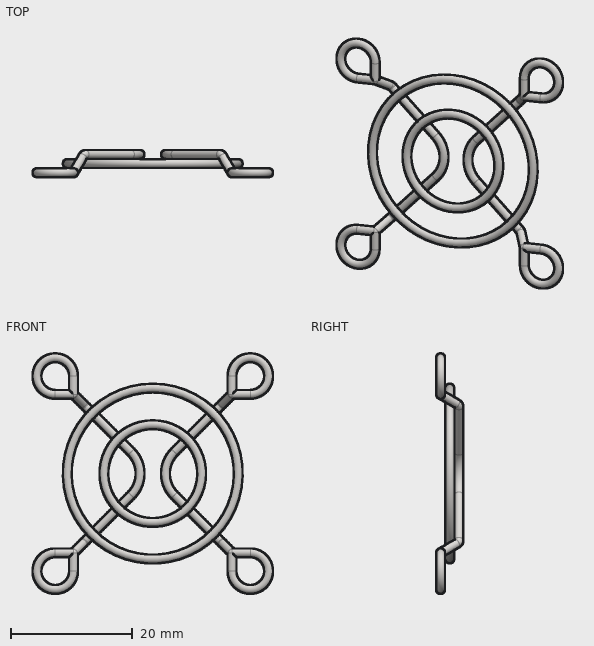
import cadquery as cq
import math

overall = 39.5
wire_diameter = 1.5
loop_radius = 3.0
outer_ring_radius = 14.02
inner_ring_radius = 8.0
middle_bend_radius = 5.0
crank_bend_radius = 0.83
crank_angle = math.radians(51)

wire_radius = wire_diameter / 2
ring_y = 0.0
arm_y = ring_y + wire_diameter
loop_y = ring_y - wire_diameter

loop_center = overall / 2 - wire_radius - loop_radius
loop_corner = loop_center - loop_radius
middle_bend_end = middle_bend_radius * math.sin(math.pi / 4)
middle_bend_tip = middle_bend_radius * (math.sqrt(2) - 1)
crank_run = (arm_y - loop_y) / math.tan(crank_angle)

corner_distance = loop_corner * math.sqrt(2)
crank_bend_start = corner_distance - crank_run - crank_bend_radius * math.tan(crank_angle / 2)


def diagonal_point(distance, y, side=1):
    """Point on the upper (side=1) or lower (side=-1) diagonal of the left half."""
    offset = distance / math.sqrt(2)
    return cq.Vector(-offset, y, side * offset)


def crank_bend_point(angle, side):
    """Point on the crank bend after turning through the given angle."""
    distance = crank_bend_start + crank_bend_radius * math.sin(angle)
    y = arm_y - crank_bend_radius * (1 - math.cos(angle))
    return diagonal_point(distance, y, side)


def sweep_wire(edges):
    """Round wire swept along connected, tangent centreline edges."""
    path = cq.Wire.assembleEdges(edges)
    start = edges[0]
    section = cq.Plane(origin=start.startPoint(), normal=start.tangentAt(0))
    return cq.Workplane(section).circle(wire_radius).sweep(cq.Workplane(obj=path))


def make_ring(radius):
    return cq.Workplane(obj=cq.Solid.makeTorus(
        radius, wire_radius, cq.Vector(0, ring_y, 0), cq.Vector(0, 1, 0)))


def make_arms():
    """Two diagonal arms joined by the middle bend, each ending in a crank."""
    top_corner = diagonal_point(corner_distance, loop_y)
    top_outer = crank_bend_point(crank_angle, 1)
    top_middle = crank_bend_point(crank_angle / 2, 1)
    top_inner = crank_bend_point(0, 1)
    bend_top = cq.Vector(-middle_bend_end, arm_y, middle_bend_end)
    bend_tip = cq.Vector(-middle_bend_tip, arm_y, 0)
    bend_bottom = cq.Vector(-middle_bend_end, arm_y, -middle_bend_end)
    bottom_inner = crank_bend_point(0, -1)
    bottom_middle = crank_bend_point(crank_angle / 2, -1)
    bottom_outer = crank_bend_point(crank_angle, -1)
    bottom_corner = diagonal_point(corner_distance, loop_y, -1)
    return sweep_wire([
        cq.Edge.makeLine(top_corner, top_outer),
        cq.Edge.makeThreePointArc(top_outer, top_middle, top_inner),
        cq.Edge.makeLine(top_inner, bend_top),
        cq.Edge.makeThreePointArc(bend_top, bend_tip, bend_bottom),
        cq.Edge.makeLine(bend_bottom, bottom_inner),
        cq.Edge.makeThreePointArc(bottom_inner, bottom_middle, bottom_outer),
        cq.Edge.makeLine(bottom_outer, bottom_corner),
    ])


def make_loop():
    """Upper left mounting loop: three quarters of a circle closed by two straight legs."""
    corner = cq.Vector(-loop_corner, loop_y, loop_corner)
    arc_start = cq.Vector(-loop_corner, loop_y, loop_center)
    far_offset = loop_center + loop_radius * math.sin(math.pi / 4)
    arc_middle = cq.Vector(-far_offset, loop_y, far_offset)
    arc_end = cq.Vector(-loop_center, loop_y, loop_corner)
    loop = sweep_wire([
        cq.Edge.makeLine(corner, arc_start),
        cq.Edge.makeThreePointArc(arc_start, arc_middle, arc_end),
    ])
    closing_leg = sweep_wire([cq.Edge.makeLine(arc_end, corner)])
    joint = cq.Workplane("XY").sphere(wire_radius).translate(corner)
    return loop.union(closing_leg).union(joint)


def make_support_wire():
    """Left support wire, with a mounting loop at each end."""
    loop = make_loop()
    return make_arms().union(loop).union(loop.mirror("XY"))


outer_ring = make_ring(outer_ring_radius)
inner_ring = make_ring(inner_ring_radius)

support_wires = []
for turn in (0, 180):
    support_wires.append(make_support_wire().rotate((0, 0, 0), (0, 1, 0), turn))

result = cq.Compound.makeCompound([
    outer_ring.val(),
    inner_ring.val(),
    *[wire.solids().val() for wire in support_wires],
])